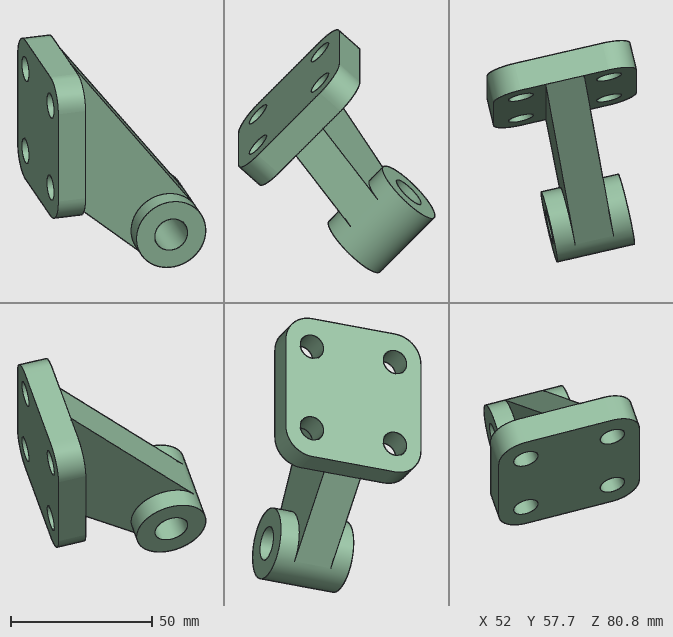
import cadquery as cq
import math

plate_width = 52.0
plate_height = 54.0
plate_thickness = 10.0
corner_radius = 10.0
bolt_diameter = 9.0
bolt_spacing = 32.0

boss_diameter = 25.5
boss_length = 28.0
bore_diameter = 12.0
overall_depth = 57.7
overall_height = 80.75
boss_radius = boss_diameter / 2
boss_y = overall_depth - boss_radius
boss_z = boss_radius

rib_width = 14.0

plate_top = overall_height
plate_bottom = plate_top - plate_height
plate_middle = (plate_top + plate_bottom) / 2


def tangent_point(y, z, side):
    """Point where a line from (y, z) touches the boss.

    side is +1 or -1: the turn direction from the line joining the boss centre to (y, z).
    """
    distance = math.hypot(y - boss_y, z - boss_z)
    direction = math.atan2(z - boss_z, y - boss_y)
    angle = direction + side * math.acos(boss_radius / distance)
    return boss_y + boss_radius * math.cos(angle), boss_z + boss_radius * math.sin(angle)


def x_cylinder(diameter, length):
    """Cylinder on the pivot axis, centred on X = 0."""
    return (
        cq.Workplane("YZ")
        .center(boss_y, boss_z)
        .circle(diameter / 2)
        .extrude(length / 2, both=True)
    )


def make_plate():
    """Rounded plate with a square pattern of four bolt holes."""
    return (
        cq.Workplane("XY")
        .box(plate_width, plate_thickness, plate_height)
        .edges("|Y")
        .fillet(corner_radius)
        .faces("<Y")
        .workplane(centerOption="CenterOfBoundBox")
        .rect(bolt_spacing, bolt_spacing, forConstruction=True)
        .vertices()
        .hole(bolt_diameter)
        .translate((0, plate_thickness / 2, plate_middle))
    )


def make_rib():
    """Rib whose edges run from the plate's rear edges, tangent to the boss."""
    outline = [
        (plate_thickness, plate_top),
        tangent_point(plate_thickness, plate_top, -1),
        (boss_y, boss_z),
        tangent_point(plate_thickness, plate_bottom, 1),
        (plate_thickness, plate_bottom),
    ]
    return cq.Workplane("YZ").polyline(outline).close().extrude(rib_width / 2, both=True)


boss = x_cylinder(boss_diameter, boss_length)
bore = x_cylinder(bore_diameter, boss_length)
result = make_plate().union(make_rib()).union(boss).cut(bore)